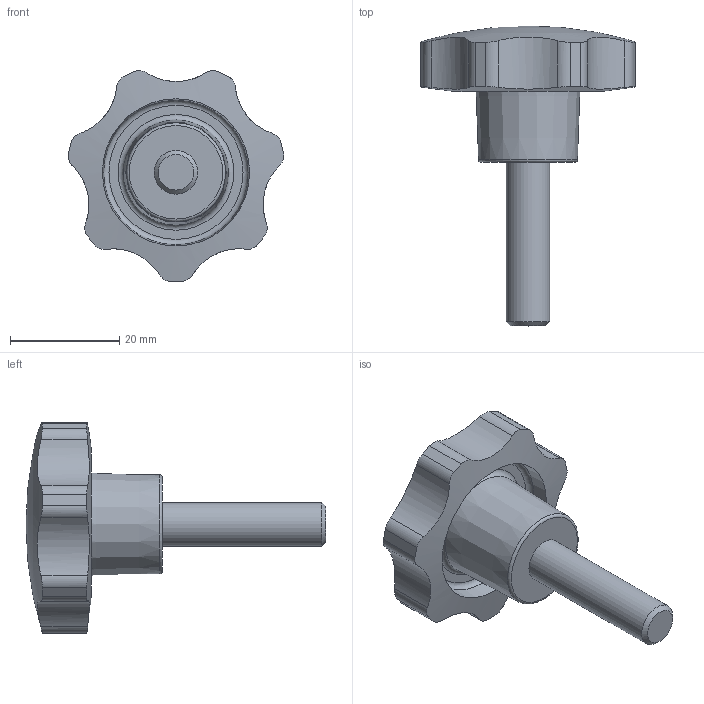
import cadquery as cq
import math


knob_height = 25.0
lobe_count = 7
lobe_radius = 20.0
crown_radius = 68.0
head_back_y = 13.0
back_slope_rise = 0.85
trim_stock = 1.0

scallop_radius = 10.0
scallop_centre_distance = 26.65
lobe_round_radius = 2.5

hub_end_radius = 9.05
hub_draft = math.radians(2.0)
hub_edge_round = 0.5

recess_depth = 4.0
recess_floor_y = head_back_y + recess_depth
recess_mouth_radius = 13.5
recess_draft = math.radians(4.0)
recess_fillet = 1.0

stud_diameter = 8.0
stud_length = 30.0
stud_chamfer = 0.75


def polar(radius, angle):
    """Point at the given distance and angle from the knob axis."""
    return (radius * math.cos(angle), radius * math.sin(angle))


def head_blank():
    """Round head with a spherical crown and a sloping back, solid to the axis."""
    crown_centre_y = knob_height - crown_radius

    def crown_y(radius):
        return crown_centre_y + math.sqrt(crown_radius**2 - radius**2)

    blank_radius = lobe_radius + trim_stock
    back_slope = back_slope_rise / (lobe_radius - recess_mouth_radius)
    blank_back_y = head_back_y + back_slope * (blank_radius - recess_mouth_radius)
    return (
        cq.Workplane("XY")
        .moveTo(0, head_back_y)
        .lineTo(recess_mouth_radius, head_back_y)
        .lineTo(blank_radius, blank_back_y)
        .lineTo(blank_radius, crown_y(blank_radius))
        .threePointArc((blank_radius / 2, crown_y(blank_radius / 2)), (0, knob_height))
        .close()
        .revolve(360, (0, 0), (0, 1))
    )


def lobed_prism():
    """Prism along Y whose outline is the lobes, their rounds and the scallops."""
    pitch = 2 * math.pi / lobe_count
    round_distance = lobe_radius - lobe_round_radius
    centre_gap = scallop_radius + lobe_round_radius
    round_angle = math.acos(
        (round_distance**2 + scallop_centre_distance**2 - centre_gap**2)
        / (2 * round_distance * scallop_centre_distance)
    )

    def round_points(scallop_angle, side):
        """Scallop end, middle and lobe-tip end of the round on one side of a scallop."""
        angle = scallop_angle + side * round_angle
        cx, cz = polar(round_distance, angle)
        sx, sz = polar(scallop_centre_distance, scallop_angle)
        to_scallop = math.atan2(sz - cz, sx - cx)
        turn = math.remainder(angle - to_scallop, 2 * math.pi)
        points = []
        for fraction in (0, 0.5, 1):
            dx, dz = polar(lobe_round_radius, to_scallop + fraction * turn)
            points.append((cx + dx, cz + dz))
        return points

    first_scallop = math.pi / 2
    outline = cq.Workplane("XZ").moveTo(*round_points(first_scallop, -1)[2])
    for index in range(lobe_count):
        scallop_angle = first_scallop + index * pitch
        scallop_start, start_middle, _ = round_points(scallop_angle, -1)
        scallop_end, end_middle, tip_start = round_points(scallop_angle, 1)
        scallop_bottom = polar(scallop_centre_distance - scallop_radius, scallop_angle)
        tip_middle = polar(lobe_radius, scallop_angle + pitch / 2)
        tip_end = round_points(scallop_angle + pitch, -1)[2]
        outline = (
            outline.threePointArc(start_middle, scallop_start)
            .threePointArc(scallop_bottom, scallop_end)
            .threePointArc(end_middle, tip_start)
            .threePointArc(tip_middle, tip_end)
        )
    return outline.close().extrude(-knob_height)


def recess_cutter():
    """Drafted round pocket in the back of the head, with a rounded floor edge."""
    floor_radius = recess_mouth_radius - recess_depth * math.tan(recess_draft)
    return (
        cq.Workplane("XY")
        .moveTo(0, head_back_y)
        .lineTo(recess_mouth_radius, head_back_y)
        .lineTo(floor_radius, recess_floor_y)
        .lineTo(0, recess_floor_y)
        .close()
        .revolve(360, (0, 0), (0, 1))
        .faces(">Y")
        .edges()
        .fillet(recess_fillet)
    )


def hub():
    """Drafted hub from its end face to the recess floor, with a rounded end edge."""
    root_radius = hub_end_radius + recess_floor_y * math.tan(hub_draft)
    return (
        cq.Workplane("XY")
        .lineTo(hub_end_radius, 0)
        .lineTo(root_radius, recess_floor_y)
        .lineTo(0, recess_floor_y)
        .close()
        .revolve(360, (0, 0), (0, 1))
        .faces("<Y")
        .edges()
        .fillet(hub_edge_round)
    )


def stud():
    """Cylindrical stud with a chamfered free end."""
    return (
        cq.Workplane("XZ")
        .circle(stud_diameter / 2)
        .extrude(stud_length)
        .faces("<Y")
        .chamfer(stud_chamfer)
    )


def round_hub_root(body):
    """Fillet the corner between the hub and the recess floor."""
    tolerance = 0.01
    floor_edges = cq.selectors.BoxSelector(
        (-lobe_radius, recess_floor_y - tolerance, -lobe_radius),
        (lobe_radius, recess_floor_y + tolerance, lobe_radius),
        boundingbox=True,
    )
    hub_root = cq.selectors.RadiusNthSelector(0)
    return body.edges(floor_edges).edges(hub_root).fillet(recess_fillet)


head = head_blank().intersect(lobed_prism()).cut(recess_cutter())
result = round_hub_root(head.union(hub())).union(stud())